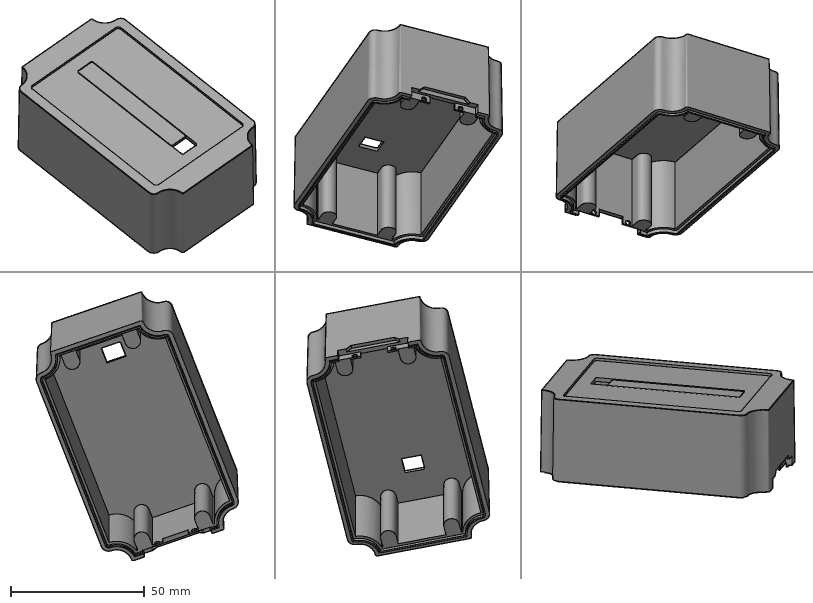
import cadquery as cq
import math

length = 89.4
width = 54.7
height = 33.3
draft = 0.45

scallop_radius = 5.9
blend_radius = 2.95
corner_radius = 0.7

lip_height = 0.8
lip_inset = 1.6
wall = 3.2
rim_chamfer = 0.2
cover_seat_depth = 1.4
cover_seat_inset = 2.2

boss_radius = 2.95
boss_x = 37.9
boss_y = 12.2
wall_overlap = 0.45

pocket_length = 69.3
pocket_width = 45.6
pocket_depth = 1.0
pocket_corner = 1.4
panel_thickness = 1.5
panel_top = height - pocket_depth
slot_length = 57.9
slot_width = 7.6
slot_depth = 0.4
slot_corner = 0.5
window_length = 6.3

notch_width = 27.0
notch_top = 4.5
notch_depth = 2.5
gap_width = 10.3
relief_top = 6.35
relief_top_width = 16.7
relief_depth = 1.4
pin_diameter = 2.0
pin_spacing = 14.9
pin_height = 2.5


def plan_outline():
    """Scalloped plan outline at the lower edge of the shell, as one closed wire."""
    scallop_x = length / 2 - corner_radius
    scallop_y = width / 2 - blend_radius
    blend_x = scallop_x - scallop_radius - blend_radius
    corner_y = scallop_y - scallop_radius - corner_radius
    diagonal = math.sqrt(0.5)
    quadrant = (
        cq.Workplane("XY")
        .moveTo(length / 2, 0)
        .lineTo(length / 2, corner_y)
        .threePointArc(
            (scallop_x + corner_radius * diagonal, corner_y + corner_radius * diagonal),
            (scallop_x, corner_y + corner_radius),
        )
        .threePointArc(
            (scallop_x - scallop_radius * diagonal, scallop_y - scallop_radius * diagonal),
            (scallop_x - scallop_radius, scallop_y),
        )
        .threePointArc(
            (blend_x + blend_radius * diagonal, scallop_y + blend_radius * diagonal),
            (blend_x, width / 2),
        )
        .lineTo(0, width / 2)
    )
    return quadrant.mirrorY().mirrorX()


def inset_outline(inset, z):
    """Plan outline moved inwards by inset and raised to height z."""
    outline = plan_outline()
    if inset:
        outline = outline.offset2D(-inset)
    return outline.val().moved(cq.Location(cq.Vector(0, 0, z)))


def prism(inset, z_bottom, z_top):
    """Straight block with the inset plan outline."""
    face = cq.Face.makeFromWires(inset_outline(inset, z_bottom))
    return cq.Workplane(cq.Solid.extrudeLinear(face, cq.Vector(0, 0, z_top - z_bottom)))


def slab(inset, z_bottom, inset_top, z_top):
    """Block whose sides slope from one inset outline to another."""
    wires = [inset_outline(inset, z_bottom), inset_outline(inset_top, z_top)]
    return cq.Workplane(cq.Solid.makeLoft(wires, True))


def shell():
    """Drafted, scalloped body on an inset lip, hollow and open at the bottom."""
    body = slab(0, lip_height, draft, height)
    body = body.faces(">Z").edges().chamfer(rim_chamfer)
    body = body.union(prism(lip_inset, 0, lip_height))
    body = body.cut(prism(wall, 0, panel_top - panel_thickness))
    return body.cut(prism(cover_seat_inset, 0, cover_seat_depth))


def bosses():
    """Four half-round bosses under the top panel, joined to the short walls by flat sides."""
    boss_height = panel_top - panel_thickness - cover_seat_depth
    flat_length = length / 2 - wall - boss_x + wall_overlap
    boss = cq.Workplane("XY").circle(boss_radius).extrude(boss_height)
    web = cq.Workplane("XY").box(flat_length, 2 * boss_radius, boss_height, centered=(False, True, False))
    boss = boss.union(web).translate((boss_x, boss_y, cover_seat_depth))
    pair = boss.union(boss.mirror("XZ"))
    return pair.union(pair.mirror("YZ"))


def rounded_pocket(size_x, size_y, corner, z_bottom, z_top):
    """Centred rectangular cutter with rounded upright edges."""
    block = cq.Workplane("XY").workplane(offset=z_bottom).rect(size_x, size_y).extrude(z_top - z_bottom)
    return block.edges("|Z").fillet(corner)


def top_cutters():
    """Pocket in the top, shallow slot in its floor, and the window through the +X end of the slot."""
    pocket = rounded_pocket(pocket_length, pocket_width, pocket_corner, panel_top, height)
    slot = rounded_pocket(slot_length, slot_width, slot_corner, panel_top - slot_depth, panel_top)
    window_side = (
        cq.Workplane("XY")
        .box(window_length, slot_width, height, centered=(False, True, False))
        .translate((slot_length / 2 - window_length, 0, 0))
    )
    window = rounded_pocket(slot_length, slot_width, slot_corner, 0, panel_top).intersect(window_side)
    return pocket.union(slot).union(window)


def wall_block(size_y, depth, z_top):
    """Cutter reaching inwards by depth from the outermost -X plane, from the bottom up to z_top."""
    block = cq.Workplane("XY").box(depth, size_y, z_top, centered=(False, True, False))
    return block.translate((-length / 2, 0, 0))


def notch_cutters():
    """Connector notch with a central gap, a sloped-end relief above it and two pin holes."""
    notch = wall_block(notch_width, notch_depth, notch_top)
    gap = wall_block(gap_width, wall, notch_top)
    rise = relief_top - notch_top
    relief = (
        cq.Workplane("YZ", origin=(-length / 2, 0, 0))
        .moveTo(-relief_top_width / 2 - rise, notch_top)
        .lineTo(-relief_top_width / 2, relief_top)
        .lineTo(relief_top_width / 2, relief_top)
        .lineTo(relief_top_width / 2 + rise, notch_top)
        .close()
        .extrude(relief_depth)
    )
    pins = (
        cq.Workplane("YZ", origin=(-length / 2, 0, pin_height))
        .pushPoints([(-pin_spacing / 2, 0), (pin_spacing / 2, 0)])
        .circle(pin_diameter / 2)
        .extrude(wall)
    )
    return notch.union(gap).union(relief).union(pins)


result = shell().union(bosses()).cut(top_cutters()).cut(notch_cutters())